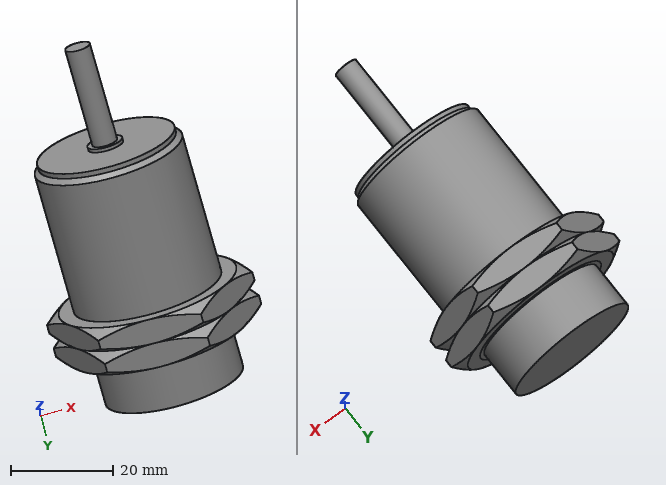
import cadquery as cq
import math

total_length = 72.0
barrel_length = 51.0
cable_tip = -total_length / 2
sensing_face = total_length / 2
cable_end_face = sensing_face - barrel_length

barrel_radius = 15.0
step_depth = 1.0
reduced_radius = barrel_radius - step_depth
nose_length = 10.0
rim_length = 1.0
collar_radius = 3.5
collar_length = 0.7
cable_radius = 2.5
lamp_radius = 0.5
lamp_height = 4.25

nut_across_flats = 36.0
nut_thickness = 5.0
nut_count = 2
nut_chamfer_angle = 30.0
nut_corner_radius = nut_across_flats / math.sqrt(3)
nut_chamfer_depth = (nut_corner_radius - nut_across_flats / 2) * math.tan(math.radians(nut_chamfer_angle))
barrel_shoulder = sensing_face - nose_length


def make_sensor():
    """Revolved barrel, collar and cable about Y, with a small domed lamp on the cable end face."""
    rim_start = cable_end_face + rim_length
    collar_face = cable_end_face - collar_length
    turned = (
        cq.Workplane("XY")
        .moveTo(0, cable_tip)
        .lineTo(cable_radius, cable_tip)
        .lineTo(cable_radius, collar_face)
        .lineTo(collar_radius, collar_face)
        .lineTo(collar_radius, cable_end_face)
        .lineTo(reduced_radius, cable_end_face)
        .lineTo(reduced_radius, rim_start)
        .lineTo(barrel_radius, rim_start + step_depth)
        .lineTo(barrel_radius, barrel_shoulder)
        .lineTo(reduced_radius, barrel_shoulder)
        .lineTo(reduced_radius, sensing_face)
        .lineTo(0, sensing_face)
        .close()
        .revolve(360, (0, 0, 0), (0, 1, 0))
    )
    lamp = cq.Workplane("XY").sphere(lamp_radius).translate((0, cable_end_face, lamp_height))
    return turned.union(lamp)


def make_nut(front_face):
    """Hex nut with both faces chamfered, starting at front_face and running toward +Y."""
    back_face = front_face + nut_thickness
    hexagon = (
        cq.Workplane("XZ", origin=(0, front_face, 0))
        .polygon(6, 2 * nut_corner_radius)
        .extrude(-nut_thickness)
    )
    chamfer_envelope = (
        cq.Workplane("XY")
        .moveTo(0, front_face)
        .lineTo(nut_across_flats / 2, front_face)
        .lineTo(nut_corner_radius, front_face + nut_chamfer_depth)
        .lineTo(nut_corner_radius, back_face - nut_chamfer_depth)
        .lineTo(nut_across_flats / 2, back_face)
        .lineTo(0, back_face)
        .close()
        .revolve(360, (0, 0, 0), (0, 1, 0))
    )
    bore = (
        cq.Workplane("XZ", origin=(0, front_face, 0))
        .circle(barrel_radius)
        .extrude(-nut_thickness)
    )
    return hexagon.intersect(chamfer_envelope).cut(bore)


sensor = make_sensor()
nuts = [make_nut(barrel_shoulder - (index + 1) * nut_thickness) for index in range(nut_count)]

result = cq.Compound.makeCompound([sensor.val(), *[nut.val() for nut in nuts]])